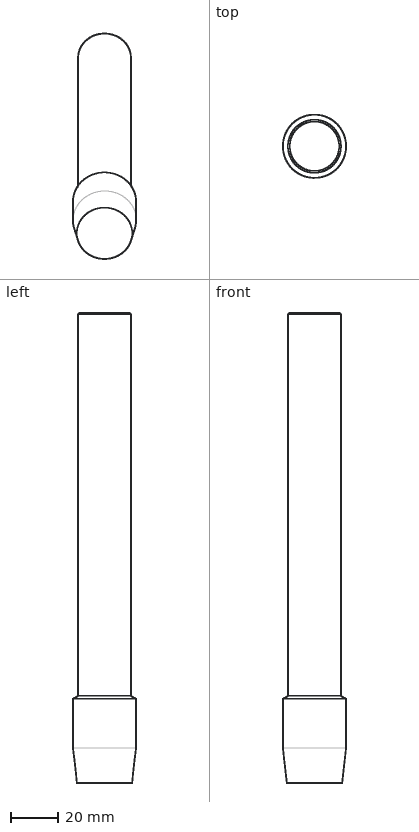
import cadquery as cq

TOTAL_LENGTH = 200.0

BASE_DIAMETER = 27.0
BASE_HEIGHT = 37.0
SHOULDER_HEIGHT = 1.2
TAPER_HEIGHT = 15.0
FOOT_DIAMETER = 23.5

ROD_DIAMETER = 22.5
ROD_CHAMFER = 0.8

BASE_RADIUS = BASE_DIAMETER / 2
FOOT_RADIUS = FOOT_DIAMETER / 2
ROD_RADIUS = ROD_DIAMETER / 2
ROD_LENGTH = TOTAL_LENGTH - BASE_HEIGHT


def make_base():
    """Turned base whose sloping shoulder ends at the rod's outer surface."""
    profile = (
        cq.Workplane("XZ")
        .moveTo(0, 0)
        .lineTo(FOOT_RADIUS, 0)
        .lineTo(BASE_RADIUS, TAPER_HEIGHT)
        .lineTo(BASE_RADIUS, BASE_HEIGHT - SHOULDER_HEIGHT)
        .lineTo(ROD_RADIUS, BASE_HEIGHT)
        .lineTo(0, BASE_HEIGHT)
        .close()
    )
    return profile.revolve(360, (0, 0, 0), (0, 1, 0))


def make_rod():
    """Round rod with a chamfered top edge, standing on the base."""
    rod = cq.Workplane("XY").workplane(offset=BASE_HEIGHT).circle(ROD_RADIUS).extrude(ROD_LENGTH)
    return rod.faces(">Z").edges().chamfer(ROD_CHAMFER)


base = make_base()
rod = make_rod()

result = cq.Compound.makeCompound([base.val(), rod.val()])